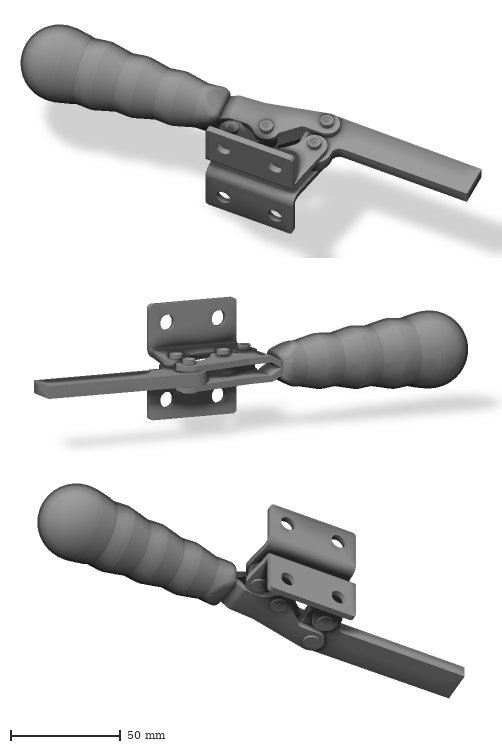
import cadquery as cq
import math


sheet = 3.0
core_half = 3.0
outer_face = core_half + sheet

left_pivot = (4.2, 20.0)
right_pivot = (42.2, 28.0)
link_pivot = (18.2, 27.5)
arm_pivot = (42.2, 42.0)
pin_radius = 3.0
pin_top = 8.5
pin_dish_radius = 2.3
pin_dish_depth = 1.2
pin_head_radius = 3.8
pin_head_height = 1.0
plate_lobe_radius = 6.0

bracket_length = 44.0
flange_reach = 27.0
bend_inner_radius = 1.0
bend_outer_radius = bend_inner_radius + sheet
flange_corner = 2.0
saddle_radius = 16.0
taper_start = 6.0
hole_spacing = 26.0
hole_z = 18.0
hole_width = 7.0
hole_length = 7.5

arm_lobe_radius = 8.0
arm_tip_x = 116.7
bar_height = 16.0
bar_top = 49.4
arm_fillet = 4.0
link_radius = 5.0

grip_tilt = 4.0
axis_height = 33.2
tang_half_width = 7.1
bend_angle = 30.0
bend_corner = -0.7
bend_overlap = 1.0
bend_fillet = 3.4
tang_end = -16.0
handle_upper_kink = 12.0
throat_offset = 4.2
throat_fillet = 4.0
tang_fillet = 7.0

ball_radius = 17.9
ball_centre = -86.29
ball_overrun = 1.5
ball_band = 1.8
grip_end = -5.4
grip_end_fillet = 3.7
flat_edge_fillet = 3.0
rib_pitch = 19.0
rib_count = 3
first_valley = -73.7
valley_to_rib = 5.5
rib_width = 3.3
rib_crown = 0.15
first_valley_radius = 15.7
first_rib_radius = 16.2
radius_drop = 1.7
flat_angle = 30.0
flat_end_height = 5.6


def offset_point(origin, distance, angle):
    a = math.radians(angle)
    return (origin[0] + distance * math.cos(a), origin[1] + distance * math.sin(a))


def direction(start, end):
    return math.degrees(math.atan2(end[1] - start[1], end[0] - start[0]))


def tangent_point(point, centre, radius, side):
    """Touch point on a circle of a line from a point; side is +1 for the left of the sight line."""
    reach = math.dist(point, centre)
    spread = math.degrees(math.asin(radius / reach))
    length = math.sqrt(reach**2 - radius**2)
    return offset_point(point, length, direction(point, centre) + side * spread)


def disc(centre, radius, low, high):
    return cq.Workplane("XY", origin=(0, 0, low)).center(*centre).circle(radius).extrude(high - low)


def strap(start, end, radius):
    """Round-ended bar of the core thickness between two pivots."""
    length = math.dist(start, end)
    middle = ((start[0] + end[0]) / 2, (start[1] + end[1]) / 2)
    profile = cq.Workplane("XY", origin=(*middle, -core_half)).slot2D(
        length + 2 * radius, 2 * radius, direction(start, end)
    )
    return profile.extrude(2 * core_half)


def on_both_sides(plate):
    return plate.union(plate.mirror("XY"))


def along_grip(body):
    """Move a body from the grip axis frame to its tilted place."""
    return body.rotate((0, 0, 0), (0, 0, 1), grip_tilt).translate((0, axis_height, 0))


def saddle_centre():
    """Centre of the arc that touches both bracket lobes from above."""
    reach = saddle_radius + plate_lobe_radius
    span = math.dist(left_pivot, right_pivot)
    lift = math.degrees(math.acos(span / 2 / reach))
    return offset_point(left_pivot, reach, direction(left_pivot, right_pivot) + lift)


def make_bracket_side():
    r = plate_lobe_radius
    left_foot = (0, taper_start)
    right_foot = (bracket_length, taper_start)
    saddle = saddle_centre()
    left_touch = tangent_point(left_foot, left_pivot, r, 1)
    right_touch = tangent_point(right_foot, right_pivot, r, -1)
    left_saddle = offset_point(left_pivot, r, direction(left_pivot, saddle))
    right_saddle = offset_point(right_pivot, r, direction(right_pivot, saddle))
    plate = (
        cq.Workplane("XY", origin=(0, 0, core_half))
        .moveTo(0, bend_outer_radius)
        .lineTo(*left_foot)
        .lineTo(*left_touch)
        .threePointArc(offset_point(left_pivot, r, 120), left_saddle)
        .threePointArc(offset_point(saddle, saddle_radius, -90), right_saddle)
        .threePointArc(offset_point(right_pivot, r, 60), right_touch)
        .lineTo(*right_foot)
        .lineTo(bracket_length, bend_outer_radius)
        .close()
        .extrude(sheet)
    )
    bend_z = core_half + bend_outer_radius
    foot = (
        cq.Workplane("YZ")
        .moveTo(bend_outer_radius, core_half)
        .radiusArc((0, bend_z), bend_outer_radius)
        .lineTo(0, flange_reach)
        .lineTo(sheet, flange_reach)
        .lineTo(sheet, bend_z)
        .radiusArc((bend_outer_radius, outer_face), -bend_inner_radius)
        .close()
        .extrude(bracket_length)
    )
    foot = foot.faces(">Z").edges("|Y").fillet(flange_corner)
    holes = (
        cq.Workplane("XZ", origin=(bracket_length / 2, 0, hole_z))
        .rarray(hole_spacing, 1, 2, 1)
        .slot2D(hole_length, hole_width, 90)
        .extrude(-sheet)
    )
    return plate.union(foot).cut(holes)


def make_arm():
    bar_bottom = bar_top - bar_height
    fillet_y = bar_bottom - arm_fillet
    fillet_reach = math.sqrt((arm_lobe_radius + arm_fillet) ** 2 - (fillet_y - right_pivot[1]) ** 2)
    fillet_centre = (right_pivot[0] + fillet_reach, fillet_y)
    lobe_touch = offset_point(right_pivot, arm_lobe_radius, direction(right_pivot, fillet_centre))
    bar = (
        cq.Workplane("XY", origin=(0, 0, -core_half))
        .moveTo(*right_pivot)
        .lineTo(*lobe_touch)
        .radiusArc((fillet_centre[0], bar_bottom), arm_fillet)
        .lineTo(arm_tip_x, bar_bottom)
        .lineTo(arm_tip_x, bar_top)
        .lineTo(arm_pivot[0], arm_pivot[1] + arm_lobe_radius)
        .close()
        .extrude(2 * core_half)
    )
    return strap(right_pivot, arm_pivot, arm_lobe_radius).union(bar)


def axis_point(along, across):
    """Point given along and across the grip axis."""
    a = math.radians(grip_tilt)
    x = along * math.cos(a) - across * math.sin(a)
    y = axis_height + along * math.sin(a) + across * math.cos(a)
    return (x, y)


def make_handle_plate():
    r = plate_lobe_radius
    kink = axis_point(handle_upper_kink, tang_half_width)
    upper_touch = tangent_point(kink, arm_pivot, r, 1)
    tang_bottom = axis_point(0, -tang_half_width)
    tang_slope = math.tan(math.radians(grip_tilt))

    lobe_left = offset_point(link_pivot, r, -135)
    rise = lobe_left[1] - tang_bottom[1]
    step = (lobe_left[0] + rise - tang_bottom[0]) / (1 + tang_slope)
    left_corner = (tang_bottom[0] + step, tang_bottom[1] + step * tang_slope)

    level = arm_pivot[1] - r
    throat_reach = math.degrees(math.acos(throat_offset / r)) - 45
    lobe_right = offset_point(link_pivot, r, throat_reach)
    throat_corner = (lobe_right[0] + level - lobe_right[1], level)
    plate = (
        cq.Workplane("XY", origin=(0, 0, core_half))
        .moveTo(*tang_bottom)
        .lineTo(*left_corner)
        .lineTo(*lobe_left)
        .threePointArc(offset_point(link_pivot, r, -70), lobe_right)
        .lineTo(*throat_corner)
        .lineTo(arm_pivot[0], level)
        .threePointArc(offset_point(arm_pivot, r, 0), upper_touch)
        .lineTo(*kink)
        .lineTo(*axis_point(0, tang_half_width))
        .close()
        .extrude(sheet)
    )
    for corner, radius in ((left_corner, tang_fillet), (throat_corner, throat_fillet)):
        nearest = cq.selectors.NearestToPointSelector((*corner, core_half + sheet / 2))
        plate = plate.edges("|Z").edges(nearest).fillet(radius)
    return plate


def make_tang_half():
    """Bend that brings one handle plate down to the middle plane and into the grip."""
    slope = math.tan(math.radians(bend_angle))
    sheet_across = sheet / math.cos(math.radians(bend_angle))
    outer_low = bend_corner - sheet / slope
    inner_high = bend_corner + (sheet_across - sheet) / slope
    inner_low = inner_high - core_half / slope
    tang = (
        cq.Workplane("XZ", origin=(0, tang_half_width, 0))
        .moveTo(tang_end, 0)
        .lineTo(inner_low, 0)
        .lineTo(inner_high, core_half)
        .lineTo(bend_overlap, core_half)
        .lineTo(bend_overlap, outer_face)
        .lineTo(bend_corner, outer_face)
        .lineTo(outer_low, sheet)
        .lineTo(tang_end, sheet)
        .close()
        .extrude(2 * tang_half_width)
    )
    corner = cq.selectors.NearestToPointSelector((bend_corner, 0, outer_face))
    return along_grip(tang.edges("|Y").edges(corner).fillet(bend_fillet))


def make_grip():
    band_start = ball_centre + ball_overrun
    band_radius = math.sqrt(ball_radius**2 - ball_overrun**2)
    profile = (
        cq.Workplane("XY")
        .moveTo(ball_centre - ball_radius, 0)
        .threePointArc(offset_point((ball_centre, 0), ball_radius, 135), (band_start, band_radius))
        .lineTo(band_start + ball_band, band_radius - ball_band * ball_overrun / band_radius)
    )
    for i in range(rib_count + 1):
        valley = first_valley + i * rib_pitch
        drop = i * radius_drop
        profile = profile.tangentArcPoint((valley, first_valley_radius - drop), relative=False)
        rib_start = valley + valley_to_rib
        rib_radius = first_rib_radius - drop
        if i < rib_count:
            profile = profile.lineTo(rib_start, rib_radius).threePointArc(
                (rib_start + rib_width / 2, rib_radius + rib_crown), (rib_start + rib_width, rib_radius)
            )
    last_radius = first_rib_radius - rib_count * radius_drop
    grip = (
        profile.lineTo(grip_end, last_radius).lineTo(grip_end, 0).close()
        .revolve(360, (0, 0, 0), (1, 0, 0))
    )
    run = 2 * ball_radius
    rise = run * math.tan(math.radians(flat_angle))
    flat_cut = (
        cq.Workplane("XZ", origin=(0, ball_radius, 0))
        .moveTo(grip_end, flat_end_height)
        .lineTo(grip_end - run, flat_end_height + rise)
        .lineTo(grip_end, flat_end_height + rise)
        .close()
        .extrude(2 * ball_radius)
    )
    grip = grip.cut(on_both_sides(flat_cut))
    grip = grip.edges("%ELLIPSE").fillet(flat_edge_fillet)
    grip = grip.faces(">X").edges().fillet(grip_end_fillet)
    return along_grip(grip)


def make_pin(pivot):
    shank = disc(pivot, pin_radius, -outer_face, pin_top)
    dish_sphere = (pin_dish_radius**2 + pin_dish_depth**2) / (2 * pin_dish_depth)
    dish = cq.Workplane("XY", origin=(*pivot, pin_top + dish_sphere - pin_dish_depth)).sphere(dish_sphere)
    head = disc(pivot, pin_head_radius, -outer_face - pin_head_height, -outer_face)
    return shank.cut(dish).union(head)


result = on_both_sides(make_bracket_side())
result = result.union(make_arm())
result = result.union(strap(left_pivot, link_pivot, link_radius))
result = result.union(on_both_sides(make_handle_plate().union(make_tang_half())))
result = result.union(make_grip())
for pivot in (left_pivot, right_pivot, link_pivot, arm_pivot):
    result = result.union(make_pin(pivot))